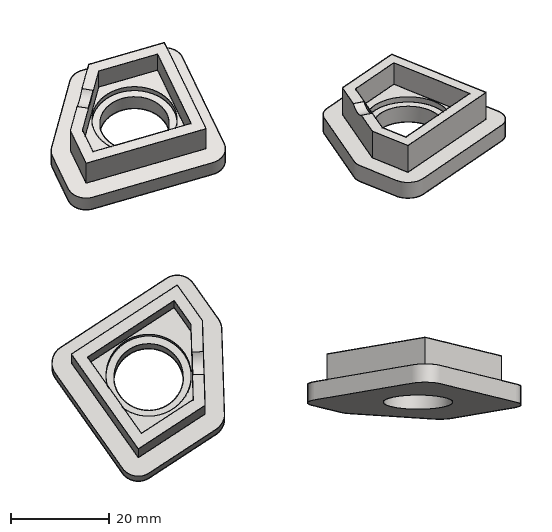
import cadquery as cq

wall_width = 24.25
wall_length = 26.05
corner_cut_x = 15.1
corner_cut_y = 9.6
wall_thickness = 2.37

flange_margin = 3.95
flange_height = 3.8
total_height = 10.18

pocket_floor = 5.05
hole_x = 0.8
hole_y = 1.7
hole_diameter = 14.1
counterbore_diameter = 17.35
counterbore_depth = 1.25

notch_radius = 4.27
notch_depth = 0.75
notch_fraction_along_wall = 0.5
notch_skin = 0.07

left = -wall_width / 2
right = wall_width / 2
front = -wall_length / 2
back = wall_length / 2


def wall_outline(z):
    return cq.Workplane("XY", origin=(0, 0, z)).polyline([
        (left, back),
        (right, back),
        (right, front),
        (left + corner_cut_x, front),
        (left, front + corner_cut_y),
    ]).close()


def round_cutter(diameter, bottom):
    return (
        cq.Workplane("XY", origin=(hole_x, hole_y, bottom))
        .circle(diameter / 2)
        .extrude(total_height - bottom)
    )


def notch_cutter():
    start = (
        left + notch_fraction_along_wall * corner_cut_x,
        front + (1 - notch_fraction_along_wall) * corner_cut_y,
        total_height - notch_depth + notch_radius,
    )
    inward = (corner_cut_y, corner_cut_x, 0)
    along_wall = (corner_cut_x, -corner_cut_y, 0)
    plane = cq.Plane(origin=start, xDir=along_wall, normal=inward)
    return cq.Workplane(plane).circle(notch_radius).extrude(wall_thickness - notch_skin)


flange = wall_outline(0).offset2D(flange_margin, "arc").extrude(flange_height)
wall = wall_outline(0).extrude(total_height)
pocket = (
    wall_outline(pocket_floor)
    .offset2D(-wall_thickness, "intersection")
    .extrude(total_height - pocket_floor)
)

result = (
    flange.union(wall)
    .cut(pocket)
    .cut(round_cutter(counterbore_diameter, pocket_floor - counterbore_depth))
    .cut(round_cutter(hole_diameter, 0))
    .cut(notch_cutter())
)